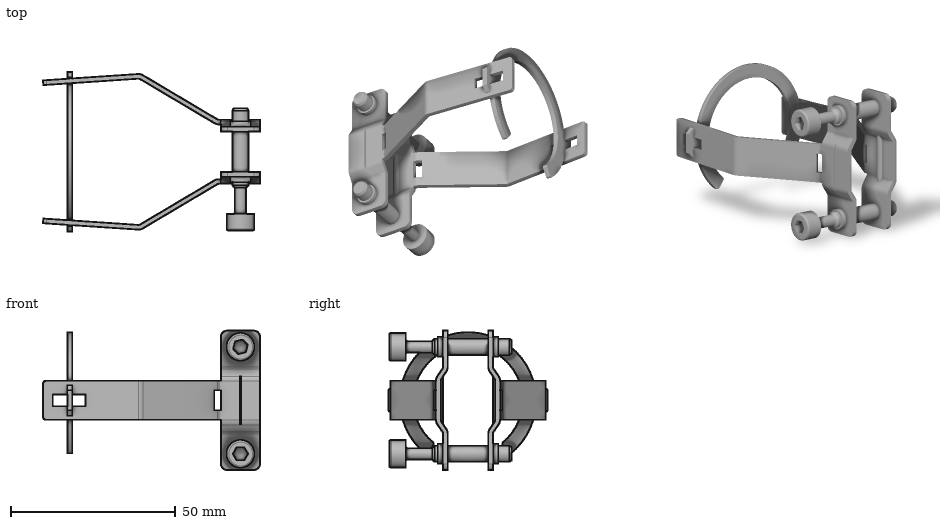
import cadquery as cq
import math


sheet = 1.5
inner_bend = 1.0
outer_bend = inner_bend + sheet

plate_width = 12.0
plate_height = 42.56
plate_corner = 2.0
ear_face_y = 7.65
raised_face_y = 9.8
ramp_start_z = 6.75
ramp_end_z = 9.85

bead_width = 2.3
bead_rise = 0.7
bead_half_length = 7.8
groove_width = 0.4
groove_depth = 0.43

strip_height = 12.0
strip_corner = 1.0
strip_end = (-60.23, 21.8)
strip_peak = (-30.45, 23.8)
strip_hinge_x = -6.85
relief_length = 1.25
relief_height = 6.0
slot_x = (-57.15, -47.3)
slot_height = 3.5

screw_z = 16.3
thread_diameter = 5.0
collar_diameter = 6.2
collar_height = 1.6
tip_diameter = 4.13
tip_chamfer_length = 0.75
neck_diameter = 3.5
head_diameter = 8.5
head_rounding = 0.6
under_head_fillet = 0.3
head_end_y = -24.0
head_length = 5.1
thread_start_y = -10.2
tip_y = 13.3
socket_width = 4.0
socket_depth = 2.5
socket_cone_angle = 120.0
socket_turns = {screw_z: 14.0, -screw_z: 0.0}

ring_x = -52.0
ring_outer_radius = 20.8
ring_inner_radius = 16.65
ring_opening_angle = 75.0
ring_end_rounding = 0.75
hook_tip_y = 48.69 / 2
hook_shoulder_y = 22.45
hook_edge = 0.3
hook_neck_height = 2.85
hook_tip_height = 6.1


def offset_corners(corners):
    """Corners of the line one sheet thickness to the right of an open line of corners."""
    headings = [math.atan2(b[1] - a[1], b[0] - a[0]) for a, b in zip(corners, corners[1:])]
    before = headings[:1] + headings
    after = headings + headings[-1:]
    shifted = []
    for (u, v), a, b in zip(corners, before, after):
        mitre = sheet / math.cos((b - a) / 2)
        direction = (a + b) / 2 - math.pi / 2
        shifted.append((u + mitre * math.cos(direction), v + mitre * math.sin(direction)))
    return shifted


def bent_sheet(plane, outer_face, width, convex_bends):
    """Sheet of the given width whose outer face follows the corners, with rounded bends.

    convex_bends holds, for each inner corner, True where the outer face is convex.
    """
    inner_face = offset_corners(outer_face)
    outline = outer_face + inner_face[::-1]
    body = cq.Workplane(plane).polyline(outline).close().extrude(width / 2, both=True)
    frame = cq.Plane.named(plane)
    bends = zip(outer_face[1:-1], inner_face[1:-1], convex_bends)
    for outer_corner, inner_corner, convex in bends:
        radii = (outer_bend, inner_bend) if convex else (inner_bend, outer_bend)
        for corner, radius in zip((outer_corner, inner_corner), radii):
            target = frame.toWorldCoords(corner).toTuple()
            body = body.edges(cq.selectors.NearestToPointSelector(target)).fillet(radius)
    return body


def box_between(x_range, y_range, height):
    """Box between two X and two Y positions, centred on Z = 0."""
    length = x_range[1] - x_range[0]
    depth = y_range[1] - y_range[0]
    centre = (sum(x_range) / 2, sum(y_range) / 2, 0)
    return cq.Workplane("XY").box(length, depth, height).translate(centre)


def cylinder_along_y(diameter, z, y_start, y_end):
    plane = cq.Workplane("XZ", origin=(0, y_start, z))
    return plane.circle(diameter / 2).extrude(y_start - y_end)


def make_plate():
    half_height = plate_height / 2
    face = [
        (ear_face_y, -half_height),
        (ear_face_y, -ramp_end_z),
        (raised_face_y, -ramp_start_z),
        (raised_face_y, ramp_start_z),
        (ear_face_y, ramp_end_z),
        (ear_face_y, half_height),
    ]
    plate = bent_sheet("YZ", face[::-1], plate_width, [False, True, True, False])
    plate = plate.edges("|Y").edges("<Z or >Z").fillet(plate_corner)
    return plate


def add_bead(plate):
    inner_y = raised_face_y - sheet
    half = bead_width / 2
    bead = (
        cq.Workplane("XY")
        .moveTo(-half, inner_y)
        .threePointArc((0, inner_y - bead_rise), (half, inner_y))
        .close()
        .extrude(bead_half_length, both=True)
    )
    groove = box_between(
        (-groove_width / 2, groove_width / 2),
        (raised_face_y - groove_depth, raised_face_y),
        2 * bead_half_length,
    )
    return plate.union(bead).cut(groove)


def add_collars(plate):
    for z in (screw_z, -screw_z):
        collar_end_y = ear_face_y + collar_height
        collar = cylinder_along_y(collar_diameter, z, ear_face_y, collar_end_y)
        hole = cylinder_along_y(thread_diameter, z, 0, collar_end_y)
        plate = plate.union(collar).cut(hole)
    return plate


def make_relief():
    """Window at the hinge, from the plate edge to a cut square to the sloped part of the strip."""
    slope = math.atan2(strip_peak[1] - raised_face_y, strip_hinge_x - strip_peak[0])
    cut_x = strip_hinge_x - relief_length * math.cos(slope)
    cut_y = raised_face_y + relief_length * math.sin(slope)
    through = 2 * sheet
    across_x = through * math.sin(slope)
    across_y = through * math.cos(slope)
    plate_edge_x = -plate_width / 2
    corners = [
        (cut_x + across_x, cut_y + across_y),
        (cut_x - across_x, cut_y - across_y),
        (plate_edge_x, cut_y - across_y),
        (plate_edge_x, cut_y + across_y),
    ]
    return cq.Workplane("XY").polyline(corners).close().extrude(relief_height / 2, both=True)


def make_strip():
    face = [
        strip_end,
        strip_peak,
        (strip_hinge_x, raised_face_y),
        (-plate_width / 2, raised_face_y),
    ]
    strip = bent_sheet("XY", face, strip_height, [True, False])
    strip = strip.faces("<X").edges("not |Z").fillet(strip_corner)
    through_y = (0, hook_tip_y)
    slot = box_between(slot_x, through_y, slot_height)
    return strip.cut(slot).cut(make_relief())


def make_arm():
    plate = add_collars(add_bead(make_plate()))
    return plate.union(make_strip())


def make_socket(z, turn):
    """Hexagonal socket that ends in a drill cone, opening at the head's end face."""
    corner_radius = socket_width / 2 / math.cos(math.radians(30))
    cone_depth = corner_radius / math.tan(math.radians(socket_cone_angle / 2))
    cone_base_y = head_end_y + socket_depth
    bore = (
        cq.Workplane("XY")
        .moveTo(0, head_end_y)
        .lineTo(corner_radius, head_end_y)
        .lineTo(corner_radius, cone_base_y)
        .lineTo(0, cone_base_y + cone_depth)
        .close()
        .revolve(360, (0, 0, 0), (0, 1, 0))
    )
    hexagon = (
        cq.Workplane("XZ", origin=(0, head_end_y, 0))
        .polygon(6, 2 * corner_radius)
        .extrude(-socket_depth - cone_depth)
        .rotate((0, 0, 0), (0, 1, 0), -turn)
    )
    return bore.intersect(hexagon).translate((0, 0, z))


def make_screw(z, turn):
    neck_radius = neck_diameter / 2
    thread_radius = thread_diameter / 2
    head_radius = head_diameter / 2
    head_seat_y = head_end_y + head_length
    neck_end_y = thread_start_y - (thread_radius - neck_radius)
    shaft = (
        cq.Workplane("XY")
        .moveTo(0, head_seat_y)
        .lineTo(neck_radius + under_head_fillet, head_seat_y)
        .radiusArc((neck_radius, head_seat_y + under_head_fillet), under_head_fillet)
        .lineTo(neck_radius, neck_end_y)
        .lineTo(thread_radius, thread_start_y)
        .lineTo(thread_radius, tip_y - tip_chamfer_length)
        .lineTo(tip_diameter / 2, tip_y)
        .lineTo(0, tip_y)
        .close()
        .revolve(360, (0, 0, 0), (0, 1, 0))
        .translate((0, 0, z))
    )
    head = cylinder_along_y(2 * head_radius, z, head_end_y, head_seat_y)
    head = head.faces("<Y").edges().fillet(head_rounding)
    return head.union(shaft).cut(make_socket(z, turn))


def make_ring():
    ring = (
        cq.Workplane("YZ")
        .circle(ring_outer_radius)
        .circle(ring_inner_radius)
        .extrude(sheet / 2, both=True)
    )
    half_opening = math.radians(ring_opening_angle / 2)
    reach = 2 * ring_outer_radius
    side = reach * math.tan(half_opening)
    opening = (
        cq.Workplane("YZ")
        .polyline([(0, 0), (side, -reach), (-side, -reach)])
        .close()
        .extrude(sheet, both=True)
    )
    ring = ring.cut(opening)
    ring = ring.edges("|X").fillet(ring_end_rounding)

    neck_half = hook_neck_height / 2
    tip_half = hook_tip_height / 2
    slope_y = hook_shoulder_y + hook_edge
    wing_half = tip_half + hook_tip_y - slope_y
    root_y = (ring_inner_radius + ring_outer_radius) / 2
    upper = [
        (root_y, neck_half),
        (hook_shoulder_y, neck_half),
        (hook_shoulder_y, wing_half),
        (slope_y, wing_half),
        (hook_tip_y, tip_half),
    ]
    lower = [(y, -z) for y, z in upper]
    hook = cq.Workplane("YZ").polyline(upper + lower[::-1]).close().extrude(sheet / 2, both=True)
    ring = ring.union(hook).union(hook.mirror("XZ"))
    return ring.translate((ring_x, 0, 0))


left_arm = make_arm()
right_arm = left_arm.mirror("XZ")
ring = make_ring()
screws = [make_screw(z, turn) for z, turn in socket_turns.items()]

result = cq.Compound.makeCompound(
    [left_arm.val(), right_arm.val(), ring.val(), *[screw.val() for screw in screws]]
)